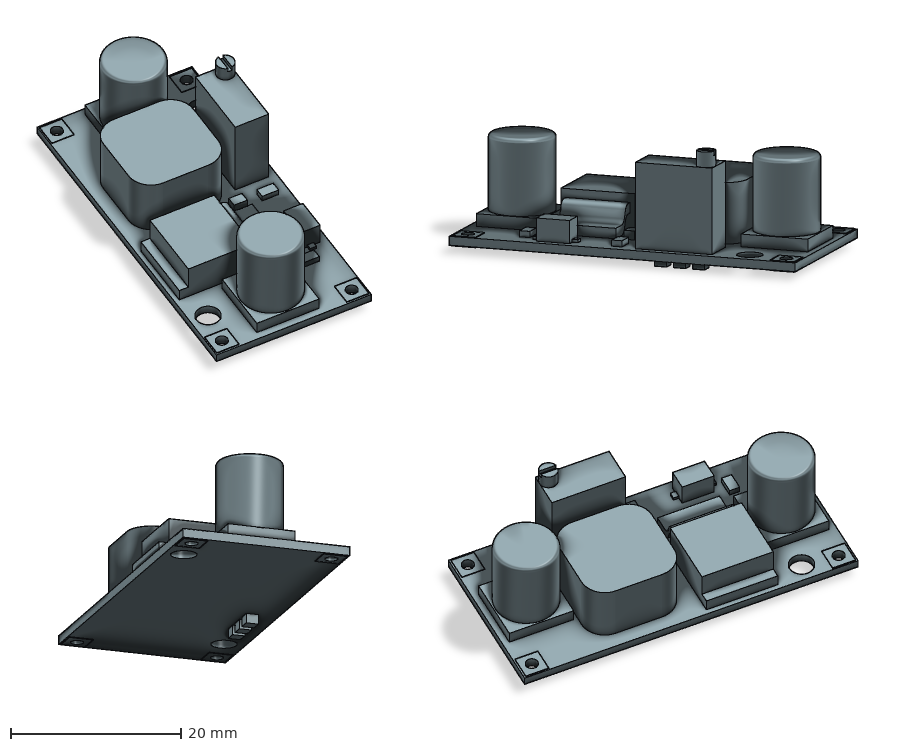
import cadquery as cq
import math

board_length = 43.4
board_width = 20.8
board_thickness = 1.1
mount_hole_diameter = 3.1
mount_hole_centers = [(-15.05, 7.85), (15.45, -8.07)]

pad_size = 3.0
pad_thickness = 0.1
pad_hole_diameter = 1.5
pad_center_x = 19.95
pad_center_y = 8.72

capacitor_centers = [(-16.65, -0.25), (16.55, -0.25)]
capacitor_base_size = 8.38
capacitor_base_height = 1.5
capacitor_can_diameter = 8.0
capacitor_height = 10.75
capacitor_rim_radius = 0.5

inductor_center = (-5.95, -2.5)
inductor_size = 12.05
inductor_corner_radius = inductor_size / 4
inductor_height = 7.38

trimmer_length = 9.6
trimmer_width = 4.5
trimmer_center = (-6.08, 7.1)
trimmer_height = 10.37
screw_diameter = 2.3
screw_height = 1.85
screw_slot_width = 0.55
screw_slot_depth = 0.5
pin_size = 1.5
pin_length = 1.17
pin_pitch = 2.4
middle_pin_x = -6.25

regulator_center_x = 6.9
regulator_width = 9.3
regulator_back_y = 0.1
regulator_depth = 8.65
regulator_height = 4.5
tab_depth = 1.2
tab_height = 1.5
lead_width = 8.07
lead_thickness = 1.25
lead_end_y = 4.85
lead_lower_bend_y = 2.95
lead_upper_bend_y = 0.75
lead_bend_angle = 70
lead_bend_run = 0.95

diode_center = (9.05, 8.07)
diode_length = 4.15
diode_width = 2.6
diode_height = 2.78
terminal_span = 5.6
terminal_width = 0.85
terminal_height = 0.35

chip_width = 1.3
chips = [(1.2, 7.85, 2.2, 0.75), (1.2, 3.85, 1.8, 1.1), (13.25, 6.65, 2.2, 0.75)]


def block(center, length, width, height, bottom=board_thickness):
    """Upright box centred on a point in X and Y."""
    box = cq.Workplane("XY").box(length, width, height, centered=(True, True, False))
    return box.translate((*center, bottom))


def post(center, diameter, height, bottom=board_thickness):
    """Upright cylinder."""
    return cq.Workplane("XY", origin=(*center, bottom)).circle(diameter / 2).extrude(height)


def make_board():
    board = block((0, 0), board_length, board_width, board_thickness, bottom=0)
    pad_stack_height = board_thickness + 2 * pad_thickness
    pad_centers = [(sx * pad_center_x, sy * pad_center_y) for sx in (-1, 1) for sy in (-1, 1)]
    for center in pad_centers:
        board = board.union(block(center, pad_size, pad_size, pad_stack_height, -pad_thickness))
    for center in pad_centers:
        board = board.cut(post(center, pad_hole_diameter, pad_stack_height, -pad_thickness))
    for center in mount_hole_centers:
        board = board.cut(post(center, mount_hole_diameter, board_thickness, 0))
    return board


def make_capacitor(center):
    base = block(center, capacitor_base_size, capacitor_base_size, capacitor_base_height)
    can = post(center, capacitor_can_diameter, capacitor_height)
    return base.union(can.faces(">Z").edges().fillet(capacitor_rim_radius))


def make_inductor():
    body = block(inductor_center, inductor_size, inductor_size, inductor_height)
    return body.edges("|Z").fillet(inductor_corner_radius)


def make_trimmer():
    center_x, center_y = trimmer_center
    trimmer = block(trimmer_center, trimmer_length, trimmer_width, trimmer_height)

    screw_center = (
        center_x - trimmer_length / 2 + screw_diameter / 2,
        center_y + trimmer_width / 2 - screw_diameter / 2,
    )
    screw_bottom = board_thickness + trimmer_height
    slot_bottom = screw_bottom + screw_height - screw_slot_depth
    screw = post(screw_center, screw_diameter, screw_height, screw_bottom)
    slot = block(screw_center, screw_diameter, screw_slot_width, screw_slot_depth, slot_bottom)
    trimmer = trimmer.union(screw.cut(slot))

    for step in (-1, 0, 1):
        pin_center = (middle_pin_x + step * pin_pitch, center_y)
        trimmer = trimmer.union(block(pin_center, pin_size, pin_size, pin_length, -pin_length))
    return trimmer


def make_lead():
    angle = math.radians(lead_bend_angle)
    bend_radius = lead_bend_run / math.sin(angle)
    bend_rise = bend_radius * (1 - math.cos(angle))
    half_run = bend_radius * math.sin(angle / 2)
    half_rise = bend_radius * (1 - math.cos(angle / 2))
    ramp_run = lead_lower_bend_y - lead_upper_bend_y - 2 * lead_bend_run
    total_rise = 2 * bend_rise + ramp_run * math.tan(angle)

    def curve_points(foot_z):
        top_z = foot_z + total_rise
        return [
            (lead_lower_bend_y, foot_z),
            (lead_lower_bend_y - half_run, foot_z + half_rise),
            (lead_lower_bend_y - lead_bend_run, foot_z + bend_rise),
            (lead_upper_bend_y + lead_bend_run, top_z - bend_rise),
            (lead_upper_bend_y + half_run, top_z - half_rise),
            (lead_upper_bend_y, top_z),
        ]

    lower = curve_points(board_thickness)
    upper = curve_points(board_thickness + lead_thickness)
    profile = (
        cq.Workplane("YZ", origin=(regulator_center_x, 0, 0))
        .moveTo(lead_end_y, board_thickness)
        .lineTo(*lower[0])
        .threePointArc(lower[1], lower[2])
        .lineTo(*lower[3])
        .threePointArc(lower[4], lower[5])
        .lineTo(regulator_back_y, lower[5][1])
        .lineTo(regulator_back_y, upper[5][1])
        .lineTo(*upper[5])
        .threePointArc(upper[4], upper[3])
        .lineTo(*upper[2])
        .threePointArc(upper[1], upper[0])
        .lineTo(lead_end_y, upper[0][1])
        .close()
    )
    return profile.extrude(lead_width / 2, both=True)


def make_regulator():
    body_center = (regulator_center_x, regulator_back_y - regulator_depth / 2)
    tab_center = (regulator_center_x, regulator_back_y - regulator_depth - tab_depth / 2)
    body = block(body_center, regulator_width, regulator_depth, regulator_height)
    tab = block(tab_center, regulator_width, tab_depth, tab_height)
    return body.union(tab).union(make_lead())


def make_diode():
    body = block(diode_center, diode_length, diode_width, diode_height)
    return body.union(block(diode_center, terminal_span, terminal_width, terminal_height))


components = [make_capacitor(center) for center in capacitor_centers]
components += [make_inductor(), make_trimmer(), make_regulator(), make_diode()]
components += [block((x, y), chip_width, length, height) for x, y, length, height in chips]

result = make_board()
for component in components:
    result = result.union(component)